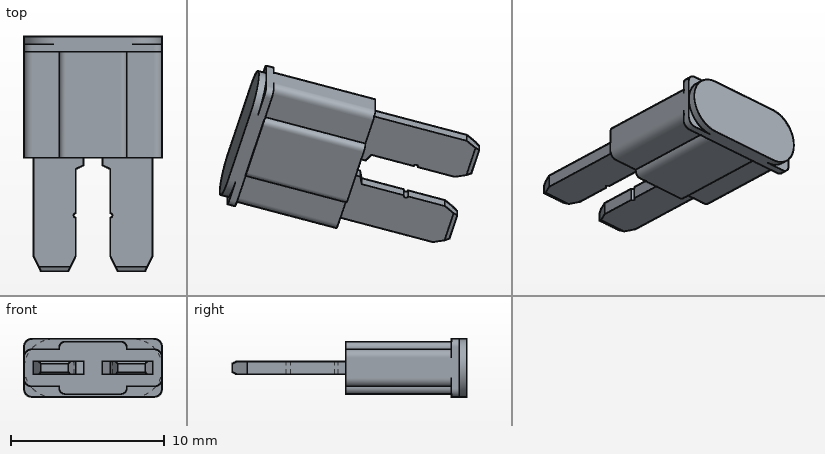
import cadquery as cq

width = 9.0
length = 15.3
cap_height = 3.8

cap_layer = 0.5
body_length = 6.9
corner_radius = 0.52
body_height = 2.42
pad_width = 4.4
pad_height = 3.41
pad_radius = 0.4

blade_thickness = 0.85
blade_outer_x = 3.89
blade_inner_x = 1.12
shoulder_inner_x = 0.61
shoulder_straight = 0.49
shoulder_length = 0.73
tip_taper_width = 0.49
tip_taper_length = 1.0
tip_bevel_depth = 0.15
tip_bevel_length = 0.3
notch_radius = 0.14
notch_from_tip = 3.64
blade_embed = 0.15

back_y = length / 2
tip_y = -length / 2
body_back_y = back_y - 2 * cap_layer
body_front_y = body_back_y - body_length


def rounded_bar(bar_width, bar_height, radius, start_y, depth):
    """Bar along +Y with its four long edges rounded."""
    return (
        cq.Workplane("XZ", origin=(0, start_y, 0))
        .rect(bar_width, bar_height)
        .extrude(-depth)
        .edges("|Y")
        .fillet(radius)
    )


def make_cap():
    """Flange with rounded corners, backed by a layer with fully round ends."""
    flange = rounded_bar(width, cap_height, corner_radius, body_back_y, cap_layer)
    back_layer = (
        cq.Workplane("XZ", origin=(0, back_y - cap_layer, 0))
        .slot2D(width, cap_height)
        .extrude(-cap_layer)
    )
    return flange.union(back_layer)


def make_body():
    """Full-width housing with a raised pad on its top and bottom."""
    body = rounded_bar(width, body_height, corner_radius, body_front_y, body_length)
    pad = rounded_bar(pad_width, pad_height, pad_radius, body_front_y, body_length)
    return body.union(pad)


def make_blade():
    """Blade on the +X side, with a shoulder, a tapered tip and a notch."""
    root_y = body_front_y + blade_embed
    taper_y = tip_y + tip_taper_length
    blade = (
        cq.Workplane("XY")
        .moveTo(shoulder_inner_x, root_y)
        .lineTo(shoulder_inner_x, body_front_y - shoulder_straight)
        .lineTo(blade_inner_x, body_front_y - shoulder_length)
        .lineTo(blade_inner_x, taper_y)
        .lineTo(blade_inner_x + tip_taper_width, tip_y)
        .lineTo(blade_outer_x - tip_taper_width, tip_y)
        .lineTo(blade_outer_x, taper_y)
        .lineTo(blade_outer_x, root_y)
        .close()
        .extrude(blade_thickness / 2, both=True)
        .faces("<Y")
        .edges("|X")
        .chamfer(tip_bevel_length, tip_bevel_depth)
    )
    notch = (
        cq.Workplane("XY")
        .center(blade_inner_x, tip_y + notch_from_tip)
        .circle(notch_radius)
        .extrude(blade_thickness, both=True)
    )
    return blade.cut(notch)


right_blade = make_blade()
left_blade = right_blade.mirror("YZ")
result = make_body().union(make_cap()).union(right_blade).union(left_blade)